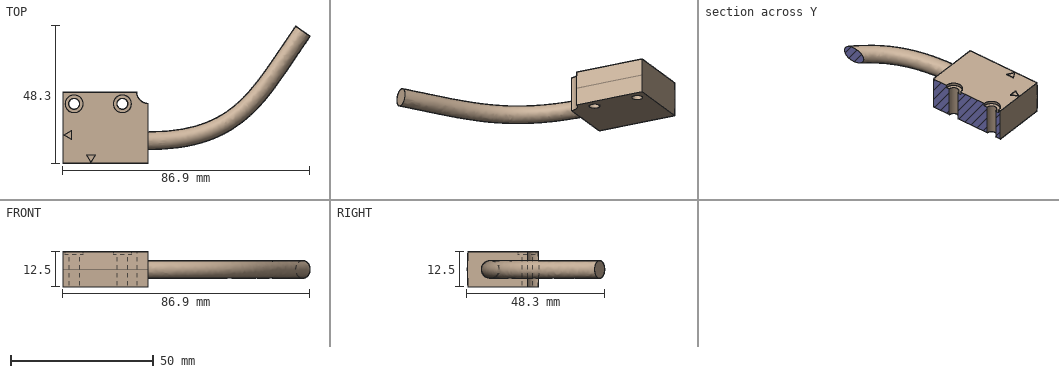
import cadquery as cq
import math

housing_length = 30.0
housing_width = 25.2
housing_height = 12.5
half_height = housing_height / 2
side_draft_angle = 2.0
corner_notch_radius = 4.0

hole_diameter = 3.7
counterbore_diameter = 6.3
counterbore_depth = 1.0
hole_count = 2
hole_pitch = 16.95
first_hole_x = 4.0
hole_y = 21.0

arrow_side = 3.0
arrow_height = 2.6
arrow_depth = 0.2
arrow_edge_gap = 0.4
left_arrow_y = 10.1
front_arrow_x = 9.9

cable_diameter = 6.3
cable_exit_y = 8.1
cable_end_angle = 55.0
cable_overall_x = 86.9
cable_overall_y = 48.3
exit_pull = 32.6
end_pull = 26.5


def make_housing():
    """Block whose two long sides lean inward above and below the parting plane."""
    side_lean = half_height * math.tan(math.radians(side_draft_angle))
    profile = [
        (0, 0),
        (side_lean, half_height),
        (housing_width - side_lean, half_height),
        (housing_width, 0),
        (housing_width - side_lean, -half_height),
        (side_lean, -half_height),
    ]
    return cq.Workplane("YZ").polyline(profile).close().extrude(housing_length)


def make_corner_notch():
    """Cylinder that rounds away the +X +Y corner as a concave arc."""
    return (
        cq.Workplane("XY", origin=(housing_length, housing_width, -half_height))
        .circle(corner_notch_radius)
        .extrude(housing_height)
    )


def add_mounting_holes(body):
    """Cut the row of counterbored through holes from the top face."""
    hole_centers = [(first_hole_x + i * hole_pitch, hole_y) for i in range(hole_count)]
    return (
        body.copyWorkplane(cq.Workplane("XY", origin=(0, 0, half_height)))
        .pushPoints(hole_centers)
        .cboreHole(hole_diameter, counterbore_diameter, counterbore_depth)
    )


def make_arrow(tip_x, tip_y, turn):
    """Shallow triangle with its tip at the given place, pointing to -X before the turn."""
    return (
        cq.Workplane("XY", origin=(tip_x, tip_y, half_height - arrow_depth))
        .transformed(rotate=(0, 0, turn))
        .polyline([(0, 0), (arrow_height, arrow_side / 2), (arrow_height, -arrow_side / 2)])
        .close()
        .extrude(arrow_depth)
    )


def make_cable():
    """Round cable swept along one smooth bend, cut square at its free end."""
    angle = math.radians(cable_end_angle)
    radius = cable_diameter / 2
    end_x = cable_overall_x - radius * math.sin(angle)
    end_y = cable_overall_y - radius * math.cos(angle)
    path_points = [
        (housing_length, cable_exit_y),
        (housing_length + exit_pull, cable_exit_y),
        (end_x - end_pull * math.cos(angle), end_y - end_pull * math.sin(angle)),
        (end_x, end_y),
    ]
    path = cq.Workplane("XY").bezier(path_points)
    cable_start = cq.Workplane("YZ", origin=(housing_length, cable_exit_y, 0))
    return cable_start.circle(radius).sweep(path)


housing = add_mounting_holes(make_housing().cut(make_corner_notch()))
left_arrow = make_arrow(arrow_edge_gap, left_arrow_y, 0)
front_arrow = make_arrow(front_arrow_x, arrow_edge_gap, 90)
housing = housing.cut(left_arrow).cut(front_arrow)
result = housing.union(make_cable())